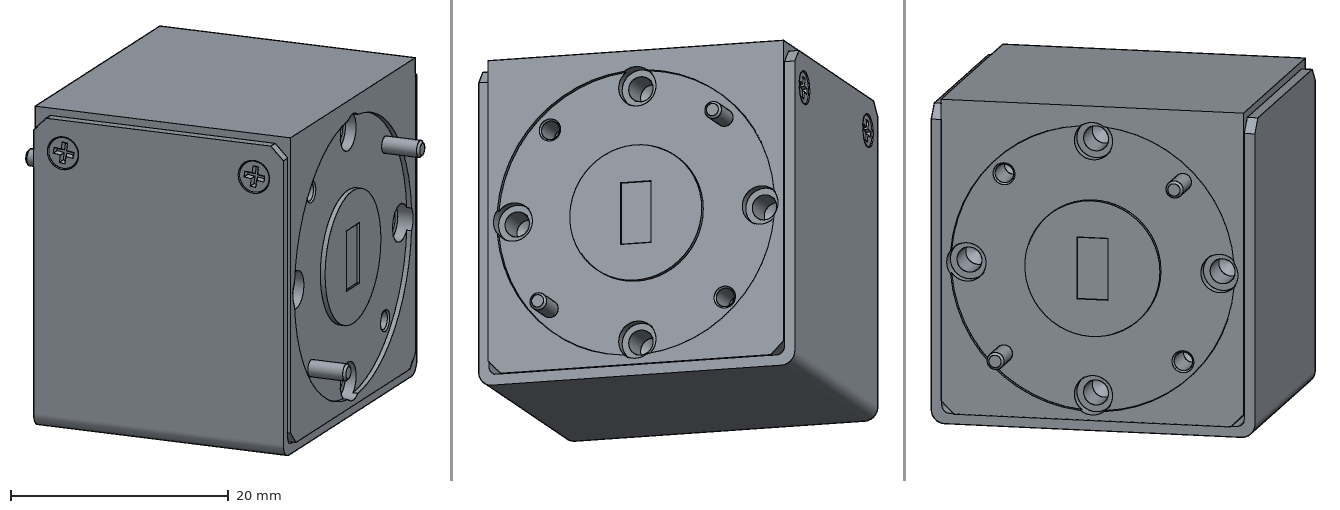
import cadquery as cq
import math

OVERALL_X = 32.13
OVERALL_YZ = 30.5
SHEET = 1.0
BLOCK_X = 25.65
COVER_X = 25.05

BLOCK_Y = OVERALL_YZ - 2 * SHEET
TOP_Z = OVERALL_YZ / 2
BOTTOM_Z = -TOP_Z
BLOCK_BOTTOM_Z = BOTTOM_Z + SHEET
BLOCK_CHAMFER = 1.22
FACE_X = BLOCK_X / 2

COVER_DROP = 0.7
COVER_CHAMFER = 1.25
BEND_INNER_RADIUS = 0.77
BEND_OUTER_RADIUS = 1.3

RELIEF_RADIUS = 13.4
BOSS_RADIUS = 6.35
RELIEF_DEPTH = 0.48
HOLE_CIRCLE_RADIUS = 11.92
COUNTERBORE_DIAMETER = 3.6
COUNTERBORE_DEPTH = 1.55
BOLT_DIAMETER = 2.35
BOLT_DEPTH = 5.15
DRILL_POINT_ANGLE = 118.0
DOWEL_HOLE_DIAMETER = 1.75
DOWEL_HOLE_DEPTH = 4.5
DOWEL_HOLE_CHAMFER = 0.15

GUIDE_WIDTH = 2.92
GUIDE_HEIGHT = 5.78
INSERT_SETBACK = 0.22

PIN_DIAMETER = 1.6
PIN_SEAT_DEPTH = 3.85
PIN_CHAMFER = 0.22

SCREW_X = 9.57
SCREW_Z = TOP_Z - 3.85
HEAD_DIAMETER = 2.95
HEAD_SETBACK = 0.1
SHANK_DIAMETER = 1.6
SCREW_LENGTH = 3.85
CROSS_SPAN = 2.0
CROSS_WIDTH = 0.55
CROSS_DEPTH = 0.5
CROSS_TAPER = 15.0
CROSS_TURN = 8.0

PIN_OFFSET = HOLE_CIRCLE_RADIUS * math.sqrt(0.5)
BOLT_POSITIONS = [
    (HOLE_CIRCLE_RADIUS, 0),
    (0, HOLE_CIRCLE_RADIUS),
    (-HOLE_CIRCLE_RADIUS, 0),
    (0, -HOLE_CIRCLE_RADIUS),
]
PIN_POSITIONS = [(PIN_OFFSET, PIN_OFFSET), (-PIN_OFFSET, -PIN_OFFSET)]
DOWEL_HOLE_POSITIONS = [(-PIN_OFFSET, PIN_OFFSET), (PIN_OFFSET, -PIN_OFFSET)]
END_TURNS = [0, 180]
SCREW_POSITIONS = [-SCREW_X, SCREW_X]


def flange_plane(depth=0.0):
    """Plane parallel to the -X end face, at a depth below it, with its normal outward."""
    return cq.Workplane(cq.Plane(origin=(-FACE_X + depth, 0, 0), xDir=(0, -1, 0), normal=(-1, 0, 0)))


def turned(shape, angle):
    return shape.rotate((0, 0, 0), (0, 0, 1), angle)


def revolved_cutter(profile, position):
    """Cutter revolved about a flange hole axis; the profile is (radius, depth) points."""
    points = [(radius, -depth) for radius, depth in profile]
    cutter = cq.Workplane("XZ").polyline(points).close().revolve(360, (0, 0), (0, 1))
    place = cq.Plane(origin=(-FACE_X, -position[0], position[1]), xDir=(0, -1, 0), normal=(-1, 0, 0))
    return cutter.val().moved(cq.Location(place))


def drill_point_depth(diameter):
    return diameter / 2 / math.tan(math.radians(DRILL_POINT_ANGLE / 2))


def bolt_hole(position):
    """Counterbored blind hole with a drill point."""
    bore = BOLT_DIAMETER / 2
    counterbore = COUNTERBORE_DIAMETER / 2
    return revolved_cutter([
        (0, 0),
        (counterbore, 0),
        (counterbore, COUNTERBORE_DEPTH),
        (bore, COUNTERBORE_DEPTH),
        (bore, BOLT_DEPTH),
        (0, BOLT_DEPTH + drill_point_depth(BOLT_DIAMETER)),
    ], position)


def dowel_hole(position):
    """Blind hole for a mating dowel pin, chamfered at the relief floor."""
    bore = DOWEL_HOLE_DIAMETER / 2
    mouth = bore + DOWEL_HOLE_CHAMFER
    return revolved_cutter([
        (0, 0),
        (mouth, 0),
        (mouth, RELIEF_DEPTH),
        (bore, RELIEF_DEPTH + DOWEL_HOLE_CHAMFER),
        (bore, DOWEL_HOLE_DEPTH),
        (0, DOWEL_HOLE_DEPTH + drill_point_depth(DOWEL_HOLE_DIAMETER)),
    ], position)


def make_pin(position):
    """Dowel pin standing out of the -X end face, chamfered at its tip."""
    length = OVERALL_X / 2 - FACE_X + PIN_SEAT_DEPTH
    pin = flange_plane(PIN_SEAT_DEPTH).center(*position).circle(PIN_DIAMETER / 2).extrude(length)
    return pin.faces("<X").chamfer(PIN_CHAMFER).val()


def make_screw_blank(x):
    """Countersunk screw without its cross recess."""
    head = HEAD_DIAMETER / 2
    shank = SHANK_DIAMETER / 2
    head_y = -OVERALL_YZ / 2 + HEAD_SETBACK
    end_y = head_y + SCREW_LENGTH
    return (
        cq.Workplane("XY", origin=(x, 0, SCREW_Z))
        .moveTo(0, head_y)
        .lineTo(head, head_y)
        .lineTo(shank, head_y + head - shank)
        .lineTo(shank, end_y)
        .lineTo(0, end_y)
        .close()
        .revolve(360, (0, 0), (0, 1))
    )


def screw_mouth(x):
    """Open part of the countersink above the screw head."""
    head = HEAD_DIAMETER / 2
    face_y = -OVERALL_YZ / 2
    return (
        cq.Workplane("XY", origin=(x, 0, SCREW_Z))
        .moveTo(0, face_y)
        .lineTo(head + HEAD_SETBACK, face_y)
        .lineTo(head, face_y + HEAD_SETBACK)
        .lineTo(0, face_y + HEAD_SETBACK)
        .close()
        .revolve(360, (0, 0), (0, 1))
    )


def make_screw(x):
    head_plane = cq.Plane(
        origin=(x, -OVERALL_YZ / 2 + HEAD_SETBACK, SCREW_Z), xDir=(1, 0, 0), normal=(0, -1, 0)
    ).rotated((0, 0, -CROSS_TURN))
    screw = make_screw_blank(x)
    for size in [(CROSS_SPAN, CROSS_WIDTH), (CROSS_WIDTH, CROSS_SPAN)]:
        slot = cq.Workplane(head_plane).rect(*size).extrude(-CROSS_DEPTH, taper=CROSS_TAPER)
        screw = screw.cut(slot)
    return screw.val()


def make_insert():
    return cq.Workplane("XY").box(BLOCK_X - 2 * INSERT_SETBACK, GUIDE_WIDTH, GUIDE_HEIGHT).val()


def make_block(pins):
    block = (
        cq.Workplane("XY", origin=(0, 0, BLOCK_BOTTOM_Z))
        .box(BLOCK_X, BLOCK_Y, TOP_Z - BLOCK_BOTTOM_Z, centered=(True, True, False))
        .faces("<Z").edges("|X").chamfer(BLOCK_CHAMFER)
    )
    relief = flange_plane().circle(RELIEF_RADIUS).circle(BOSS_RADIUS).extrude(-RELIEF_DEPTH).val()
    cutters = [relief]
    cutters += [bolt_hole(position) for position in BOLT_POSITIONS]
    cutters += [dowel_hole(position) for position in DOWEL_HOLE_POSITIONS]
    for angle in END_TURNS:
        for cutter in cutters:
            block = block.cut(cq.Workplane(turned(cutter, angle)))
    block = block.cut(cq.Workplane("XY").box(BLOCK_X, GUIDE_WIDTH, GUIDE_HEIGHT))
    for pin in pins:
        block = block.cut(cq.Workplane(pin))
    for x in SCREW_POSITIONS:
        block = block.cut(make_screw_blank(x))
    return block.val()


def make_cover():
    """U-shaped sheet cover under the block, with a wall on each of its Y sides."""
    height = OVERALL_YZ - COVER_DROP
    outer = (
        cq.Workplane("XY", origin=(0, 0, BOTTOM_Z))
        .box(COVER_X, OVERALL_YZ, height, centered=(True, True, False))
        .faces("<Z").edges("|X").fillet(BEND_OUTER_RADIUS)
        .edges("|Y and >Z").chamfer(COVER_CHAMFER)
    )
    inner = (
        cq.Workplane("XY", origin=(0, 0, BLOCK_BOTTOM_Z))
        .box(COVER_X, BLOCK_Y, height, centered=(True, True, False))
        .faces("<Z").edges("|X").fillet(BEND_INNER_RADIUS)
    )
    cover = outer.cut(inner)
    for x in SCREW_POSITIONS:
        cover = cover.cut(make_screw_blank(x)).cut(screw_mouth(x))
    return cover.val()


pins = [turned(make_pin(position), angle) for angle in END_TURNS for position in PIN_POSITIONS]
screws = [make_screw(x) for x in SCREW_POSITIONS]
block = make_block(pins)
cover = make_cover()
insert = make_insert()

result = cq.Compound.makeCompound([block, cover, insert, *pins, *screws])